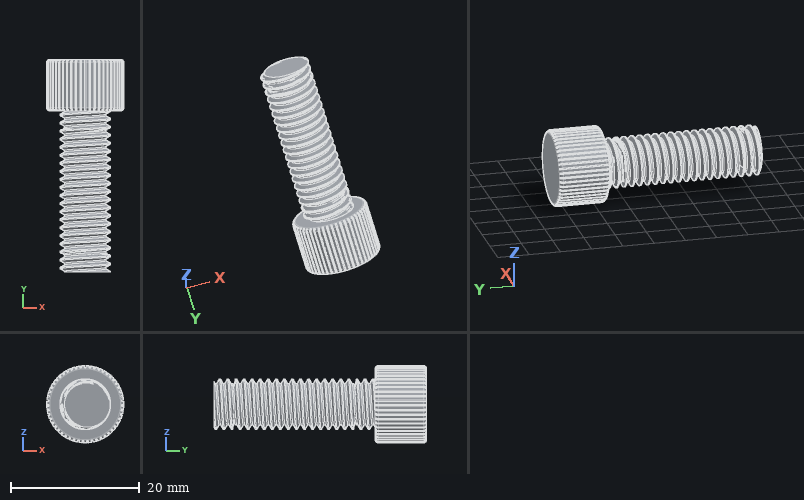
import cadquery as cq
import math


HEAD_DIAMETER = 12.0
HEAD_HEIGHT = 8.0
HEAD_EDGE_RADIUS = 0.5

GROOVE_COUNT = 51
GROOVE_WIDTH = 0.2
GROOVE_DEPTH = 0.3
FIRST_GROOVE_ANGLE = 90.0

SHANK_LENGTH = 25.0
PITCH = 1.25
MAJOR_DIAMETER = 7.87
MINOR_DIAMETER = 6.45
CREST_WIDTH = 0.18
FLANK_ANGLE = 30.0
ROOT_OVERLAP = 0.1

HEAD_RADIUS = HEAD_DIAMETER / 2
MAJOR_RADIUS = MAJOR_DIAMETER / 2
MINOR_RADIUS = MINOR_DIAMETER / 2


def across_axis(y):
    """Workplane at the given Y whose local X is +X and whose normal is +Y."""
    return cq.Workplane(cq.Plane(origin=(0, y, 0), xDir=(1, 0, 0), normal=(0, 1, 0)))


def head():
    """Cylinder with both rims rounded and grooves cut around its side."""
    blank = across_axis(0).circle(HEAD_RADIUS).extrude(HEAD_HEIGHT)
    blank = blank.edges("%CIRCLE").fillet(HEAD_EDGE_RADIUS)

    cutter = cq.Workplane("XY").box(2 * GROOVE_DEPTH, HEAD_HEIGHT, GROOVE_WIDTH)
    cutter = cutter.translate((HEAD_RADIUS, HEAD_HEIGHT / 2, 0))
    cutters = []
    for index in range(GROOVE_COUNT):
        angle = FIRST_GROOVE_ANGLE + index * 360 / GROOVE_COUNT
        cutters.append(cutter.rotate((0, 0, 0), (0, 1, 0), -angle).val())
    return blank.cut(cq.Compound.makeCompound(cutters))


def thread_ridge():
    """Helical ridge one pitch longer than the shank at both ends; a crest meets the tip at +X."""
    length = SHANK_LENGTH + 2 * PITCH
    start = -SHANK_LENGTH - PITCH
    path = cq.Wire.makeHelix(PITCH, length, MINOR_RADIUS, cq.Vector(0, start, 0), cq.Vector(0, 1, 0))
    path_start = path.startPoint()

    base_radius = MINOR_RADIUS - ROOT_OVERLAP
    half_crest = CREST_WIDTH / 2
    half_base = half_crest + (MAJOR_RADIUS - base_radius) * math.tan(math.radians(FLANK_ANGLE))
    radial = cq.Vector(path_start.x, 0, path_start.z).normalized()
    profile_plane = cq.Plane(
        origin=(0, start, 0), xDir=radial.toTuple(), normal=radial.cross(cq.Vector(0, 1, 0)).toTuple()
    )
    profile = cq.Workplane(profile_plane).polyline(
        [
            (base_radius, -half_base),
            (MAJOR_RADIUS, -half_crest),
            (MAJOR_RADIUS, half_crest),
            (base_radius, half_base),
        ]
    ).close()
    ridge = profile.sweep(cq.Workplane(path), isFrenet=True)
    start_angle = math.degrees(math.atan2(-path_start.z, path_start.x))
    return ridge.rotate((0, 0, 0), (0, 1, 0), -start_angle)


def shank():
    """Core cylinder with the thread ridge, cut flat at the tip and at the underside of the head."""
    core = across_axis(-SHANK_LENGTH - 2 * PITCH).circle(MINOR_RADIUS).extrude(SHANK_LENGTH + 4 * PITCH)
    envelope = across_axis(-SHANK_LENGTH).circle(HEAD_RADIUS).extrude(SHANK_LENGTH)
    return core.union(thread_ridge(), clean=False).intersect(envelope, clean=False)


def screw():
    """Head and shank joined where they meet, at the underside of the head.

    The faces are sewn together around a matching opening in the underside, because a
    boolean union of the knurl with the thread takes very long.
    """
    head_part = head()
    shank_part = shank()
    underside = head_part.faces("<Y")
    shank_end = shank_part.faces(">Y")
    open_underside = underside.val().cut(shank_end.val())

    faces = head_part.faces().vals()
    faces.remove(underside.val())
    faces += open_underside.Faces()
    shank_faces = shank_part.faces().vals()
    shank_faces.remove(shank_end.val())
    faces += shank_faces
    return cq.Solid.makeSolid(cq.Shell.makeShell(faces))


result = cq.Workplane(screw())